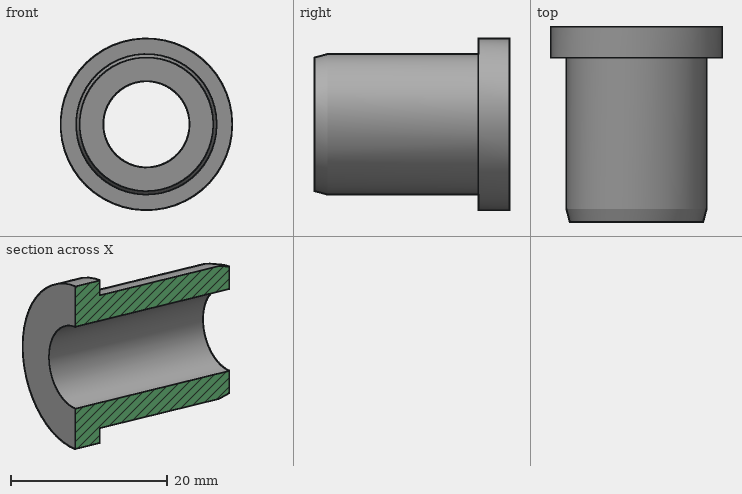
import cadquery as cq
import math

total_length = 25.0
flange_diameter = 22.0
flange_thickness = 4.0
body_diameter = 18.0
bore_diameter = 11.0
nose_length = 1.68
nose_angle = 15.0

flange_radius = flange_diameter / 2
body_radius = body_diameter / 2
bore_radius = bore_diameter / 2
nose_radius = body_radius - nose_length * math.tan(math.radians(nose_angle))
flange_start = total_length - flange_thickness

half_section = (
    cq.Workplane("XY")
    .moveTo(bore_radius, 0)
    .lineTo(nose_radius, 0)
    .lineTo(body_radius, nose_length)
    .lineTo(body_radius, flange_start)
    .lineTo(flange_radius, flange_start)
    .lineTo(flange_radius, total_length)
    .lineTo(bore_radius, total_length)
    .close()
)
result = half_section.revolve(360, (0, 0, 0), (0, 1, 0))